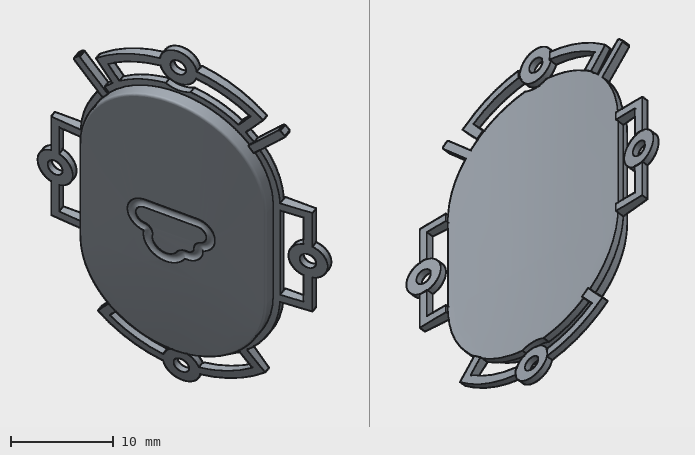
import cadquery as cq
import math

front_radius = 151.9
body_height = 1.48
flange_thickness = 0.8
flange_back = body_height + flange_thickness

straight_half = 5.95
body_half_width = 10.4
body_edge_fillet = 0.25
flange_half_width = 11.15

boss_radius = 2.1
boss_hole_radius = 0.85
boss_x = 14.125
boss_z = 19.6
boss_clearance = 0.85

bar_width = 0.95
end_bar_width = 1.05
end_bar_angle = 39.3

pin_angle = 45.0
pin_axis_z = 4.3
pin_inner_reach = 11.1
pin_tip_reach = 16.3
pin_width = 0.95
pin_tip_chamfer = 0.15
pin_rise = 0.2

groove_width = 1.05
groove_depth = 0.3
end_lobe_x = 2.9
end_lobe_z = 0.25
end_lobe_radius = 2.05
lower_lobes = [(-0.585, -2.15, 2.5), (1.82, -1.7, 1.8)]

domed_length = 43.4
through = 17.35


def xz(x=0, z=0):
    return cq.Workplane("XZ").center(x, z)


def prism(outline):
    """Extrude an XZ outline to both sides, through the whole part."""
    return outline.extrude(through / 2, both=True)


def disc(x, z, radius):
    return prism(xz(x, z).circle(radius))


def oval(half_width):
    length = 2 * (straight_half + half_width)
    return prism(xz().slot2D(length, 2 * half_width, 90))


def dome(depth):
    """Solid behind the domed surface at this depth: a cylinder above, a tangent sphere below."""
    radius = front_radius - depth
    ball = cq.Workplane("XY").sphere(radius)
    cylinder = cq.Workplane("XY").circle(radius).extrude(domed_length)
    return ball.union(cylinder).translate((0, front_radius, -straight_half))


def domed_layer(outline, front_depth):
    """Part of a prism from a domed front to the domed flange back."""
    return outline.intersect(dome(front_depth)).cut(dome(flange_back))


def flat_back(frame, reach):
    """Fill behind a frame that squares its domed back off to a flat one.

    The flat meets the domed flange back at the distance `reach` from the dome axis.
    The fill starts inside the frame, half a flange thickness behind its front.
    """
    back_radius = front_radius - flange_back
    back_y = front_radius - math.sqrt(back_radius**2 - reach**2)
    slab = cq.Workplane("XZ", origin=(0, back_y, 0)).rect(2 * domed_length, 2 * domed_length).extrude(through)
    return frame.intersect(slab).intersect(dome(body_height + flange_thickness / 2))


def side_frame(side):
    """Rectangular frame on one side of the flange, with its reach from the dome axis."""
    outer_x = boss_x + bar_width / 2
    outer_z = straight_half + bar_width / 2
    window_x = outer_x - bar_width
    window_z = outer_z - bar_width
    frame = prism(xz(side * outer_x / 2).rect(outer_x, 2 * outer_z))
    window = prism(xz(side * window_x / 2).rect(window_x, 2 * window_z))
    return frame.cut(window), outer_x


def arched_frame(end):
    """Arch of the upper (end = 1) or lower (end = -1) boss with its two end bars.

    Also gives its reach from the dome axis: along X only on the cylinder, radially on the sphere.
    """
    outer_radius = boss_z - straight_half + bar_width / 2
    ring = prism(xz().circle(outer_radius).circle(outer_radius - bar_width))
    half_angle = math.radians(end_bar_angle)
    edge_x = 2 * outer_radius * math.sin(half_angle)
    edge_z = 2 * outer_radius * math.cos(half_angle)
    frame = ring.intersect(prism(xz().polyline([(0, 0), (-edge_x, edge_z), (edge_x, edge_z)]).close()))
    for angle in (-end_bar_angle, end_bar_angle):
        bar = prism(xz(0, outer_radius).rect(end_bar_width, 2 * outer_radius))
        bar = bar.rotate((0, 0, 0), (0, 1, 0), angle)
        frame = frame.union(bar.intersect(disc(0, 0, outer_radius)))
    frame = frame.translate((0, 0, straight_half))
    if end < 0:
        frame = frame.mirror("XY")
    reach = edge_x / 2 if end > 0 else outer_radius
    return frame, reach


def pin(side):
    """Slanted pin that starts inside the cover and stands slightly proud of the flange."""
    length = pin_tip_reach - pin_inner_reach
    bar = prism(xz(0, (pin_inner_reach + pin_tip_reach) / 2).rect(pin_width, length))
    bar = bar.faces(">Z").edges("|Y").chamfer(pin_tip_chamfer)
    bar = bar.rotate((0, 0, 0), (0, 1, 0), side * pin_angle).translate((0, 0, pin_axis_z))
    return domed_layer(bar, body_height - pin_rise)


def groove():
    """Round rod whose centre line runs midway along the groove, partly sunk into the cover."""
    rod_radius = ((groove_width / 2) ** 2 + groove_depth**2) / (2 * groove_depth)
    cloud = xz(0, end_lobe_z).slot2D(2 * (end_lobe_x + end_lobe_radius), 2 * end_lobe_radius).extrude(0.45)
    for x, z, radius in lower_lobes:
        cloud = cloud.union(xz(x, z).circle(radius).extrude(0.45))
    outline = cloud.faces(">Y").wires().val()
    path = outline.offset2D(-groove_width / 2, "arc")[0]
    first_edge = path.Edges()[0]
    section = cq.Plane(first_edge.startPoint(), (0, 1, 0), first_edge.tangentAt(0))
    rod = cq.Workplane(section).circle(rod_radius).sweep(cq.Workplane(path))
    return rod.translate((0, groove_depth - rod_radius, 0))


cover = domed_layer(oval(body_half_width), 0)
front_zone = cq.selectors.BoxSelector(
    (-domed_length, -body_height / 2, -domed_length),
    (domed_length, body_height / 2, domed_length),
)
joint_line = "|X"
cover = cover.edges(front_zone).edges(f"not({joint_line})").fillet(body_edge_fillet)
cover = cover.cut(groove())

bosses = [(-boss_x, 0), (boss_x, 0), (0, boss_z), (0, -boss_z)]
frames = [side_frame(-1), side_frame(1), arched_frame(1), arched_frame(-1)]
outline = oval(flange_half_width)
for z in (boss_z, -boss_z):
    outline = outline.cut(disc(0, z, boss_radius + boss_clearance))
for (frame, _), (x, z) in zip(frames, bosses):
    outline = outline.union(frame).union(disc(x, z, boss_radius))
result = cover.union(domed_layer(outline, body_height))

for (frame, reach), (x, z) in zip(frames, bosses):
    fill = flat_back(frame, reach)
    fill = fill.cut(oval(flange_half_width)).cut(disc(x, z, boss_radius))
    result = result.union(fill)

for x, z in bosses:
    result = result.cut(disc(x, z, boss_hole_radius))

for side in (-1, 1):
    result = result.union(pin(side))